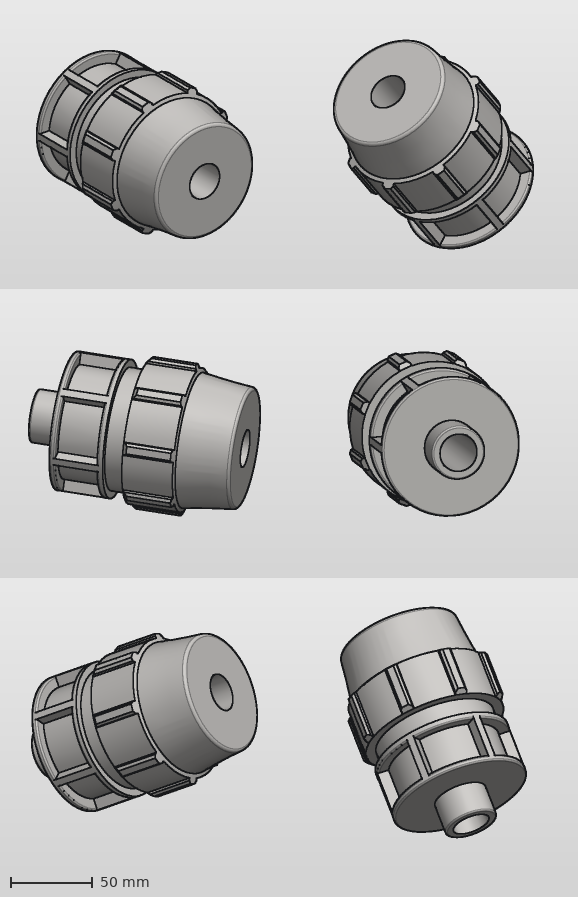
import cadquery as cq
import math

length = 133.0
bore_radius = 23.3 / 2

spigot_radius = 33.2 / 2
spigot_length = 20.0
edge_round = 1.0

flange_radius = 86.5 / 2
flange_width = 3.9
flange_gap = 26.5
drum_radius = 35.9
rib_count = 6
rib_width = 4.9
collar_end = spigot_length + 2 * flange_width + flange_gap

body_radius = 76.7 / 2

nut_start = 66.6
nut_end = 99.8
nut_radius = 44.8
nut_bevel_length = 1.0
lug_count = 8
lug_top_radius = 47.9
lug_shoulder_radius = 46.2
lug_half_width = 4.0
lug_top_half_width = 2.4
lug_front_slope = 2.8

tail_start_radius = 42.2
tail_mid_radius = 39.6
tail_end_radius = 37.9
tail_round = 2.0


def cylinder(start, end, radius):
    """Solid cylinder on the X axis from start to end."""
    return cq.Workplane("YZ", origin=(start, 0, 0)).circle(radius).extrude(end - start)


def revolve_about_x(profile):
    """Turn a closed profile in the XY plane once around the X axis."""
    return profile.close().revolve(360, (0, 0, 0), (1, 0, 0))


def around_axis(shape, count, first_angle):
    """Union of count copies of shape, evenly spaced around the X axis."""
    copies = cq.Workplane("XY")
    for index in range(count):
        angle = first_angle + index * 360 / count
        copies = copies.add(shape.rotate((0, 0, 0), (1, 0, 0), angle).val())
    return copies.combine()


def make_spigot():
    return cylinder(0, spigot_length, spigot_radius).faces("<X").edges().fillet(edge_round)


def make_collar():
    front_end = spigot_length + flange_width
    rear_start = collar_end - flange_width
    front_flange = cylinder(spigot_length, front_end, flange_radius).faces(">X").edges().fillet(edge_round)
    rear_flange = cylinder(rear_start, collar_end, flange_radius).faces("<X").edges().fillet(edge_round)
    drum = cylinder(spigot_length, collar_end, drum_radius)
    rib = (
        cq.Workplane("XY")
        .box(collar_end - spigot_length, 2 * flange_radius, rib_width, centered=(False, False, True))
        .translate((spigot_length, 0, 0))
    )
    ribs = around_axis(rib, rib_count, 0)

    blank = cylinder(spigot_length, collar_end, flange_radius)
    pockets = blank.cut(front_flange).cut(rear_flange).cut(drum).cut(ribs)
    return blank.faces("<X").edges().fillet(edge_round).cut(pockets)


def make_lugs():
    lug = (
        cq.Workplane("YZ", origin=(nut_start, 0, 0))
        .polyline([
            (body_radius, -lug_half_width),
            (lug_shoulder_radius, -lug_half_width),
            (lug_top_radius, -lug_top_half_width),
            (lug_top_radius, lug_top_half_width),
            (lug_shoulder_radius, lug_half_width),
            (body_radius, lug_half_width),
        ])
        .close()
        .extrude(nut_end - nut_start)
    )
    front_wedge = (
        cq.Workplane("XY")
        .moveTo(nut_start, nut_radius)
        .lineTo(nut_start + lug_front_slope, lug_top_radius)
        .lineTo(nut_start, lug_top_radius)
        .close()
        .extrude(lug_half_width, both=True)
    )
    return around_axis(lug.cut(front_wedge), lug_count, 180 / lug_count)


def make_nut():
    ring = cylinder(nut_start, nut_end, nut_radius)
    envelope_radius = math.hypot(lug_top_radius, lug_top_half_width)
    bevel_slope = nut_bevel_length / (nut_radius - tail_start_radius)
    envelope = revolve_about_x(
        cq.Workplane("XY")
        .moveTo(nut_start, 0)
        .lineTo(nut_start, envelope_radius)
        .lineTo(nut_end - bevel_slope * (envelope_radius - tail_start_radius), envelope_radius)
        .lineTo(nut_end, tail_start_radius)
        .lineTo(nut_end, 0)
    )
    return ring.union(make_lugs()).intersect(envelope)


def make_tail():
    tail = revolve_about_x(
        cq.Workplane("XY")
        .moveTo(nut_end, 0)
        .lineTo(nut_end, tail_start_radius)
        .threePointArc(((nut_end + length) / 2, tail_mid_radius), (length, tail_end_radius))
        .lineTo(length, 0)
    )
    return tail.faces(">X").edges().fillet(tail_round)


body = cylinder(collar_end, nut_end, body_radius)
bore = cylinder(0, length, bore_radius)

result = make_spigot().union(make_collar()).union(body).union(make_nut()).union(make_tail()).cut(bore).clean()